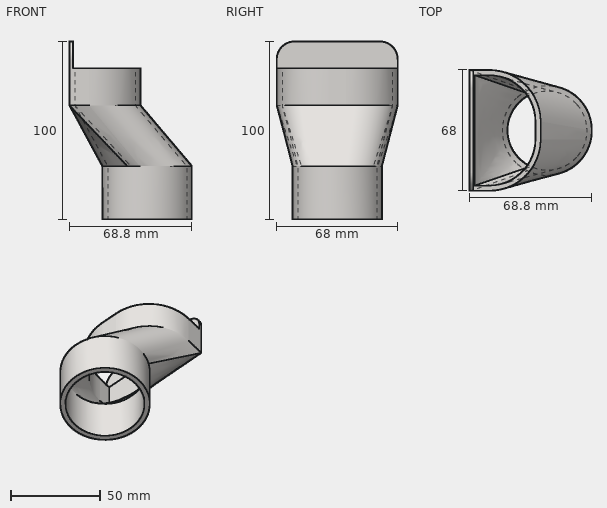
import cadquery as cq

wall = 3.0

pipe_height = 30.0
transition_height = 34.0
collar_height = 21.0
total_height = 100.0

pipe_diameter = 50.4
total_depth = 68.8
pipe_center_x = total_depth - pipe_diameter / 2

collar_depth = 40.0
collar_width = 68.0
collar_corner_radius = 29.0

plate_thickness = 2.0
plate_corner_radius = 10.0

collar_base_z = pipe_height + transition_height
plate_height = total_height - collar_base_z


def pipe_section(z, inset):
    """Circular wire of the pipe, moved inward by the inset."""
    radius = pipe_diameter / 2 - inset
    center = cq.Vector(pipe_center_x, 0, z)
    return cq.Wire.makeCircle(radius, center, cq.Vector(0, 0, 1))


def collar_section(z, inset):
    """D-shaped wire of the collar, moved inward by the inset."""
    back_x = inset
    front_x = collar_depth - inset
    half_width = collar_width / 2 - inset
    radius = collar_corner_radius - inset
    arc_mid = radius * (1 - 0.5 ** 0.5)
    outline = (
        cq.Workplane("XY", origin=(0, 0, z))
        .moveTo(front_x, half_width - radius)
        .threePointArc((front_x - arc_mid, half_width - arc_mid), (front_x - radius, half_width))
        .lineTo(back_x, half_width)
        .lineTo(back_x, -half_width)
        .lineTo(front_x - radius, -half_width)
        .threePointArc((front_x - arc_mid, arc_mid - half_width), (front_x, radius - half_width))
        .close()
    )
    return outline.val()


def duct_body(inset):
    """Solid duct: pipe, circle-to-D transition and collar."""
    pipe_bottom = pipe_section(0, inset)
    pipe_top = pipe_section(pipe_height, inset)
    collar_base = collar_section(collar_base_z, inset)

    pipe = cq.Solid.extrudeLinear(pipe_bottom, [], cq.Vector(0, 0, pipe_height))
    transition = cq.Solid.makeLoft([pipe_top, collar_base])
    collar = cq.Solid.extrudeLinear(collar_base, [], cq.Vector(0, 0, collar_height))
    return cq.Workplane(pipe).union(cq.Workplane(transition)).union(cq.Workplane(collar))


def back_plate():
    """Flat plate along the back of the collar with rounded top corners."""
    return (
        cq.Workplane("XY", origin=(0, 0, collar_base_z))
        .box(plate_thickness, collar_width, plate_height, centered=(False, True, False))
        .edges("|X and >Z")
        .fillet(plate_corner_radius)
    )


result = duct_body(0).cut(duct_body(wall)).union(back_plate())